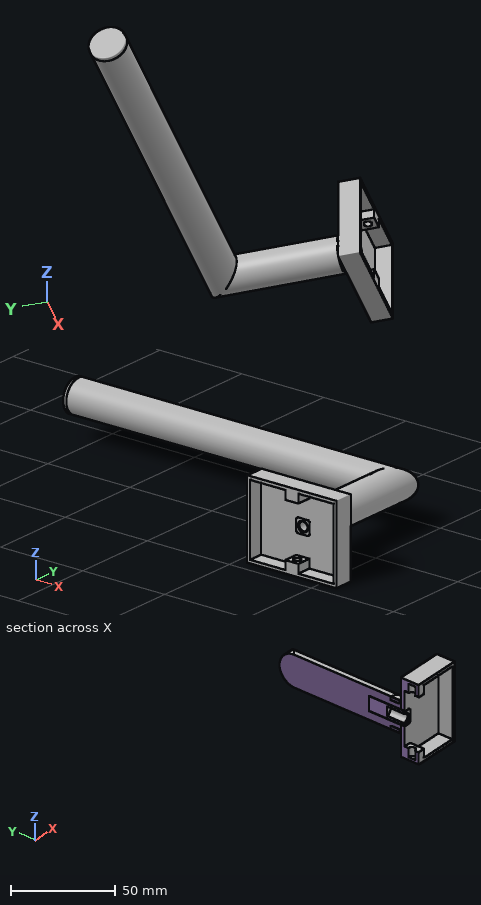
import cadquery as cq

plate_length = 54.8
plate_height = 45.0
plate_depth = 11.0
wall = 2.0
edge_radius = 0.2
floor_thickness = 2.5
lug_width = 8.0
lug_rise = 5.0
lug_hole_diameter = 4.0

handle_length = 220.0
total_depth = 86.0
bar_diameter = 19.0
cap_thickness = 2.2
cap_rounding = 0.5

spindle_size = 8.1
spindle_chamfer = 0.9
spindle_length = 22.0
bore_diameter = 5.0
bore_chamfer = 0.5
bore_depth = 11.0

ring_outer_diameter = 18.0
ring_inner_diameter = 15.0
ring_width = 5.0
ring_offset = 1.0
ring_gap = 3.0

neck_x = handle_length - plate_length / 2
arm_y = total_depth - bar_diameter / 2
recess_depth = plate_depth - floor_thickness
recess_length = plate_length - 2 * wall
recess_height = plate_height - 2 * wall


def neck_plane(y):
    """Workplane across the neck axis at the given Y; negative extrusions run towards +Y."""
    return cq.Workplane("XZ", origin=(neck_x, y, 0))


def make_spindle_bar():
    """Solid square bar, which is also the shape of the socket around it."""
    bar = neck_plane(recess_depth).rect(spindle_size, spindle_size).extrude(-spindle_length)
    return bar.edges("|Y").chamfer(spindle_chamfer)


def make_spindle():
    bore = neck_plane(recess_depth).circle(bore_diameter / 2).extrude(-bore_depth)
    spindle = make_spindle_bar().cut(bore)
    return spindle.faces("<Y").edges("%CIRCLE").chamfer(bore_chamfer)


def make_split_ring():
    ring_y = plate_depth + ring_offset
    ring = (
        neck_plane(ring_y)
        .circle(ring_outer_diameter / 2)
        .circle(ring_inner_diameter / 2)
        .extrude(-ring_width)
    )
    gap = (
        neck_plane(ring_y)
        .center(-ring_outer_diameter / 2, 0)
        .rect(ring_outer_diameter, ring_gap)
        .extrude(-ring_width)
    )
    return ring.cut(gap)


def make_lug(side):
    """Bored lug on the lower (-1) or upper (+1) wall of the rosette."""
    lug_z = side * (recess_height - lug_rise) / 2
    return (
        cq.Workplane("XY", origin=(neck_x, recess_depth / 2, lug_z))
        .box(lug_width, recess_depth, lug_rise)
        .faces(">Z")
        .workplane()
        .hole(lug_hole_diameter, lug_rise)
    )


def make_rosette():
    plate = neck_plane(0).rect(plate_length, plate_height).extrude(-plate_depth)
    plate = plate.edges("|Y").fillet(edge_radius)
    recess = neck_plane(0).rect(recess_length, recess_height).extrude(-recess_depth)
    rosette = plate.cut(recess)
    for side in (-1, 1):
        rosette = rosette.union(make_lug(side))
    return rosette.cut(make_spindle_bar())


def make_handle():
    path = (
        cq.Workplane("XY")
        .moveTo(neck_x, plate_depth)
        .lineTo(neck_x, arm_y)
        .lineTo(cap_thickness, arm_y)
    )
    bar = neck_plane(plate_depth).circle(bar_diameter / 2).sweep(path, transition="right")
    return bar.cut(make_spindle_bar()).cut(make_split_ring())


def make_cap():
    disc = cq.Workplane("YZ", origin=(0, arm_y, 0)).circle(bar_diameter / 2).extrude(cap_thickness)
    return disc.faces("<X").edges().fillet(cap_rounding)


rosette = make_rosette()
handle = make_handle()
cap = make_cap()
spindle = make_spindle()
split_ring = make_split_ring()

bodies = [rosette, handle, cap, spindle, split_ring]
result = cq.Compound.makeCompound([body.solids().val() for body in bodies])